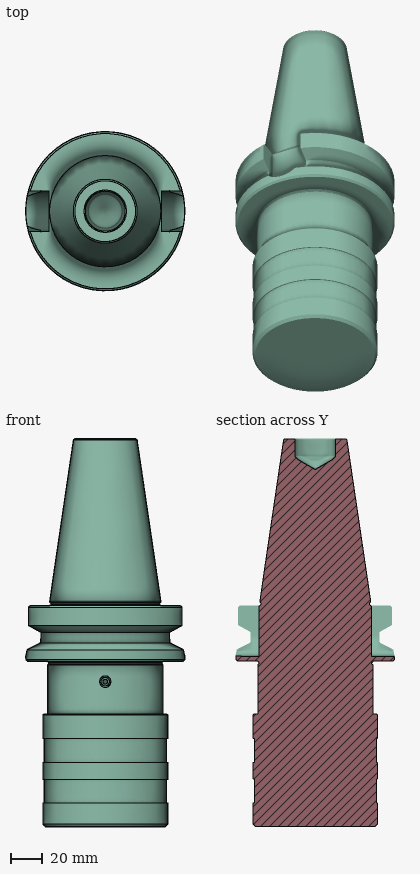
import cadquery as cq
import math


gauge_diameter = 69.85
taper_length = 102.0
taper_ratio = 7 / 24
shank_end_chamfer = 1.0

overall_length = 243.8
flange_diameter = 100.0
flange_top_z = -3.0
flange_bottom_z = -38.0
flange_chamfer = 1.2

relief_height = 2.2
relief_depth = 0.7

groove_floor_diameter = 84.8
groove_floor_top_z = -19.7
groove_floor_bottom_z = -26.3
groove_flank_angle = 30.0

slot_width = 25.5
slot_floor_x = 35.4
slot_depth = 31.7
slot_clearance = 2.5

body_diameter = 72.7
collar_diameter = 78.5
collar_top_z = -71.0
collar_chamfer = 0.7
collar_end_chamfer = 1.7
band_groove_depth = 0.7
upper_band_groove_z = (-86.5, -101.5)
lower_band_groove_z = (-112.1, -126.8)

bore_diameter = 25.0
bore_depth = 11.2
bore_chamfer = 0.7
pilot_diameter = 21.2
drill_point_angle = 120.0

screw_hole_z = -50.7
screw_hole_diameter = 5.4
screw_hole_depth = 2.5
socket_diameter = 3.0
socket_depth = 2.5
screw_hole_chamfer = 1.0

shank_top_z = taper_length
bottom_z = shank_top_z - overall_length


def make_holder():
    """Revolve the outer profile, from the shank end down to the collar end."""
    gauge_radius = gauge_diameter / 2
    shank_end_radius = gauge_radius - taper_length * taper_ratio / 2
    flange_radius = flange_diameter / 2
    groove_floor_radius = groove_floor_diameter / 2
    flank_height = (flange_radius - groove_floor_radius) * math.tan(math.radians(groove_flank_angle))
    body_radius = body_diameter / 2
    collar_radius = collar_diameter / 2
    band_groove_radius = collar_radius - band_groove_depth

    profile = [
        (0, shank_top_z),
        (shank_end_radius - shank_end_chamfer, shank_top_z),
        (shank_end_radius, shank_top_z - shank_end_chamfer),
        (gauge_radius, 0),
        (gauge_radius, flange_top_z),
        (flange_radius - flange_chamfer, flange_top_z),
        (flange_radius, flange_top_z - flange_chamfer),
        (flange_radius, groove_floor_top_z + flank_height),
        (groove_floor_radius, groove_floor_top_z),
        (groove_floor_radius, groove_floor_bottom_z),
        (flange_radius, groove_floor_bottom_z - flank_height),
        (flange_radius, flange_bottom_z + flange_chamfer),
        (flange_radius - flange_chamfer, flange_bottom_z),
        (body_radius, flange_bottom_z),
        (body_radius, collar_top_z),
        (collar_radius - collar_chamfer, collar_top_z),
        (collar_radius, collar_top_z - collar_chamfer),
    ]
    for groove_top_z, groove_bottom_z in (upper_band_groove_z, lower_band_groove_z):
        profile += [
            (collar_radius, groove_top_z),
            (band_groove_radius, groove_top_z),
            (band_groove_radius, groove_bottom_z),
            (collar_radius, groove_bottom_z),
        ]
    profile += [
        (collar_radius, bottom_z + collar_end_chamfer),
        (collar_radius - collar_end_chamfer, bottom_z),
        (0, bottom_z),
    ]
    return cq.Workplane("XZ").polyline(profile).close().revolve(360, (0, 0, 0), (0, 1, 0))


def make_relief_groove(diameter, top_z):
    """Ring that cuts a shallow groove with 45-degree flanks into a cylinder."""
    radius = diameter / 2
    floor_radius = radius - relief_depth
    groove_end_z = top_z - relief_height
    profile = [
        (radius, top_z),
        (floor_radius, top_z - relief_depth),
        (floor_radius, groove_end_z + relief_depth),
        (radius, groove_end_z),
    ]
    return cq.Workplane("XZ").polyline(profile).close().revolve(360, (0, 0, 0), (0, 1, 0))


def make_bore():
    """Stepped blind bore with a chamfered mouth and a tapered step into a drill point."""
    bore_radius = bore_diameter / 2
    pilot_radius = pilot_diameter / 2
    step_z = shank_top_z - bore_depth
    pilot_top_z = step_z - (bore_radius - pilot_radius)
    point_height = pilot_radius / math.tan(math.radians(drill_point_angle / 2))
    profile = [
        (0, shank_top_z),
        (bore_radius + bore_chamfer, shank_top_z),
        (bore_radius, shank_top_z - bore_chamfer),
        (bore_radius, step_z),
        (pilot_radius, pilot_top_z),
        (0, pilot_top_z - point_height),
    ]
    return cq.Workplane("XZ").polyline(profile).close().revolve(360, (0, 0, 0), (0, 1, 0))


def make_drive_slot(side):
    """Round-ended slot, open at the flange top; side is +1 or -1 along X."""
    half_width = slot_width / 2
    slot_bottom_z = flange_top_z - slot_depth
    arc_center_z = slot_bottom_z + half_width
    slot_open_z = flange_top_z + slot_clearance
    cut_length = flange_diameter / 2
    return (
        cq.Workplane("YZ", origin=(side * slot_floor_x, 0, 0))
        .moveTo(-half_width, slot_open_z)
        .lineTo(-half_width, arc_center_z)
        .threePointArc((0, slot_bottom_z), (half_width, arc_center_z))
        .lineTo(half_width, slot_open_z)
        .close()
        .extrude(side * cut_length)
    )


def make_screw_hole():
    """Radial blind hole on the -Y side with a countersunk mouth and a smaller flat-bottomed socket."""
    hole_radius = screw_hole_diameter / 2
    mouth_y = -body_diameter / 2
    floor_y = mouth_y + screw_hole_depth
    socket_radius = socket_diameter / 2
    profile = [
        (0, mouth_y),
        (hole_radius + screw_hole_chamfer, mouth_y),
        (hole_radius, mouth_y + screw_hole_chamfer),
        (hole_radius, floor_y),
        (socket_radius, floor_y),
        (socket_radius, floor_y + socket_depth),
        (0, floor_y + socket_depth),
    ]
    return (
        cq.Workplane("XY", origin=(0, 0, screw_hole_z))
        .polyline(profile)
        .close()
        .revolve(360, (0, 0, 0), (0, 1, 0))
    )


result = make_holder().cut(make_bore()).cut(make_screw_hole())
result = result.cut(make_relief_groove(gauge_diameter, flange_top_z + relief_height))
result = result.cut(make_relief_groove(body_diameter, flange_bottom_z))
for slot_side in (-1, 1):
    result = result.cut(make_drive_slot(slot_side))